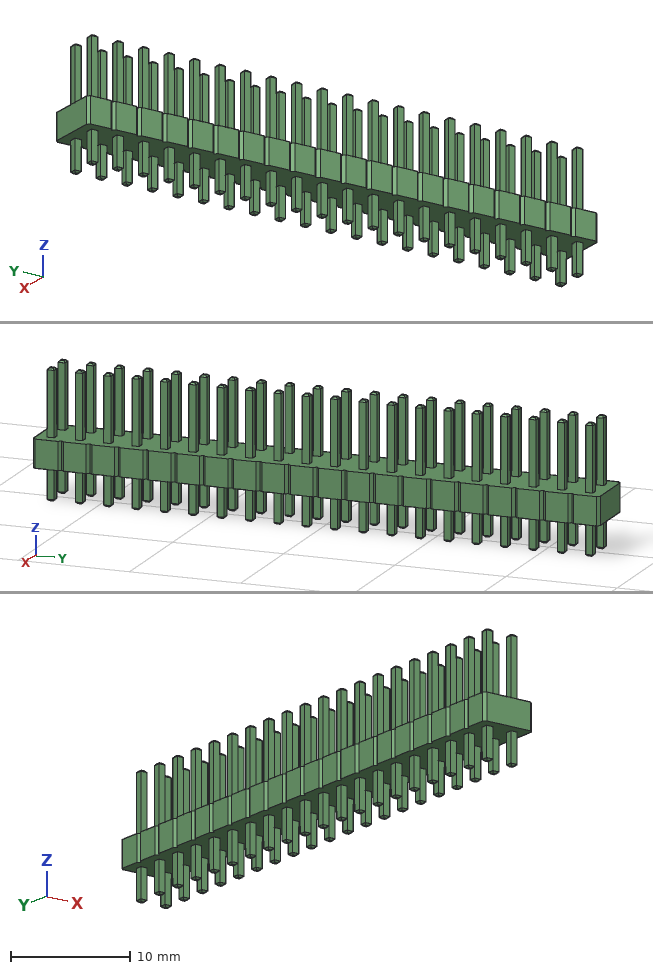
import cadquery as cq

pitch = 2.55
column_count = 2
row_count = 20

body_width = column_count * pitch
body_height = pitch
corner_chamfer = 0.25

pin_half_width = 0.32
pin_width = 2 * pin_half_width
pin_length = 11.55
pin_tail = 3.0
tip_chamfer = 0.165


def make_body():
    """Row of chamfered blocks, leaving V-grooves where neighbours meet."""
    outline = cq.Sketch().rect(body_width, pitch).vertices().chamfer(corner_chamfer)
    blocks = (
        cq.Workplane("XY")
        .rarray(body_width, pitch, 1, row_count)
        .placeSketch(outline)
        .extrude(body_height)
    )
    return blocks.clean()


def make_pins():
    """Pins through the body, tapered at both tips."""
    pins = (
        cq.Workplane("XY")
        .workplane(offset=-pin_tail)
        .rarray(pitch, pitch, column_count, row_count)
        .rect(pin_width, pin_width)
        .extrude(pin_length)
    )
    return pins.faces("<Z or >Z").edges().chamfer(tip_chamfer)


result = make_body().union(make_pins())